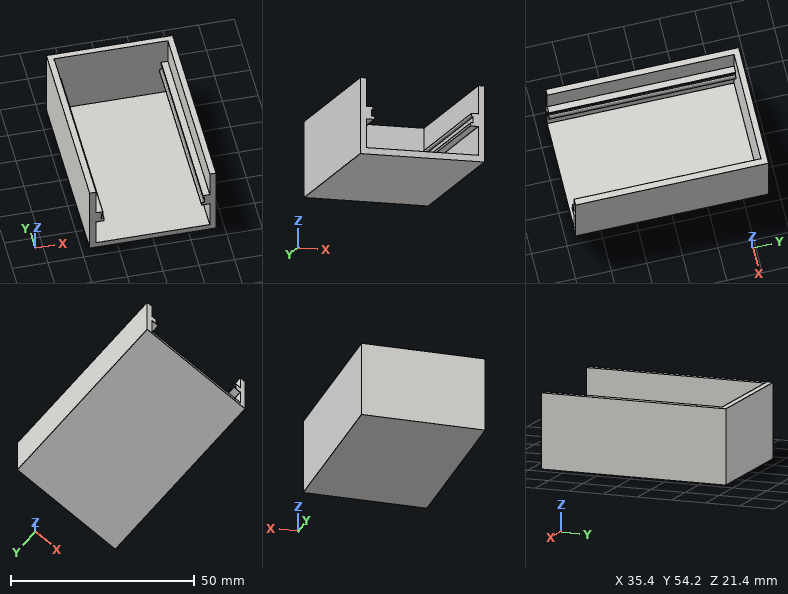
import cadquery as cq

width = 35.4
length = 54.2
height = 21.4
wall = 1.8

rail_bottom = 9.85
rail_height = 3.6
lower_lip_height = 1.0
upper_lip_height = 1.0
lower_lip_reach = 2.3
upper_lip_reach = 1.9
groove_floor_reach = 1.45
lower_lip_round = 0.4
upper_lip_round = 0.3

inner_half_width = width / 2 - wall
inner_length = length - wall


def rail_bar(side, reach, bottom, bar_height):
    """Bar on one side wall, rooted in the wall and running up to the end wall."""
    bar_width = wall + reach
    center_x = side * (width / 2 - bar_width / 2)
    return (
        cq.Workplane("XY")
        .box(bar_width, length, bar_height, centered=(True, False, False))
        .translate((center_x, 0, bottom))
    )


def tray():
    """Box open at the top and at the front end."""
    body = cq.Workplane("XY").box(width, length, height, centered=(True, False, False))
    cavity = (
        cq.Workplane("XY")
        .box(2 * inner_half_width, inner_length, height - wall, centered=(True, False, False))
        .translate((0, 0, wall))
    )
    return body.cut(cavity)


def add_rail(body, side):
    """Web with a short and a longer lip, both rounded where they face the groove between them."""
    upper_lip_bottom = rail_bottom + rail_height - upper_lip_height
    body = body.union(rail_bar(side, groove_floor_reach, rail_bottom, rail_height))
    upper_lip = rail_bar(side, upper_lip_reach, upper_lip_bottom, upper_lip_height)
    lower_lip = rail_bar(side, lower_lip_reach, rail_bottom, lower_lip_height)
    inner_edge = ">X" if side < 0 else "<X"
    lower_lip = lower_lip.faces(">Z").edges(inner_edge).fillet(lower_lip_round)
    upper_lip = upper_lip.faces("<Z").edges(inner_edge).fillet(upper_lip_round)
    return body.union(lower_lip).union(upper_lip)


result = tray()
for wall_side in (-1, 1):
    result = add_rail(result, wall_side)